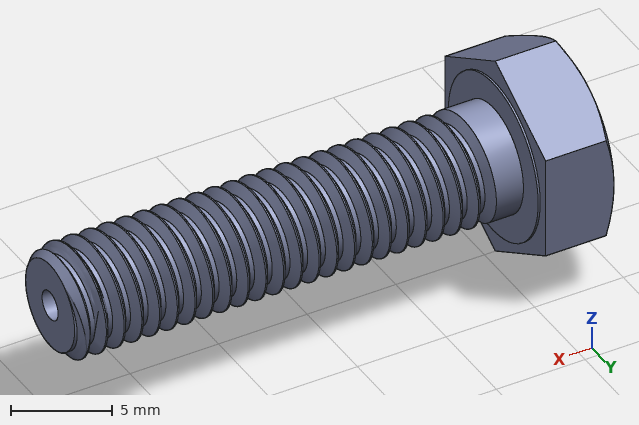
import cadquery as cq
import math

total_length = 29.0
across_flats = 10.0
head_height = 4.0
washer_thickness = 0.12
washer_diameter = 8.93
head_face_diameter = 9.92
head_chamfer_angle = 30.0
shank_diameter = 6.0
root_diameter = 4.87
tip_chamfer = 0.55
bore_diameter = 1.6

pitches_along_shank = 25
groove_start = 5.75
root_width = 0.25
flank_half_angle = 30.0

across_corners = across_flats / math.cos(math.radians(30))
shank_radius = shank_diameter / 2
root_radius = root_diameter / 2
shank_length = total_length - head_height
pitch = shank_length / pitches_along_shank
spare_length = 3 * pitch


def make_head():
    """Hexagon with a conically chamfered outer face and a thin washer face."""
    hex_height = head_height - washer_thickness
    face_radius = head_face_diameter / 2
    cone_radius = face_radius + hex_height / math.tan(math.radians(head_chamfer_angle))
    hexagon = cq.Workplane("XY").polygon(6, across_corners).extrude(hex_height)
    cone = cq.Solid.makeCone(face_radius, cone_radius, hex_height)
    washer = cq.Workplane("XY").workplane(offset=hex_height)
    washer = washer.circle(washer_diameter / 2).extrude(washer_thickness)
    return hexagon.intersect(cq.Workplane(cone)).union(washer)


def make_cylinder(length):
    """Plain round bar of the thread's outer diameter, starting under the head."""
    start = cq.Workplane("XY").workplane(offset=head_height)
    return start.circle(shank_radius).extrude(length)


def make_thread_groove():
    """Right-hand helical groove that runs on past the tip."""
    clearance = 0.1
    outer_radius = shank_radius + clearance
    flank_run = (outer_radius - root_radius) * math.tan(math.radians(flank_half_angle))
    root_half = root_width / 2
    outer_half = root_half + flank_run
    groove_length = total_length + spare_length / 2 - groove_start
    helix = cq.Wire.makeHelix(pitch, groove_length, root_radius)
    profile = cq.Workplane("XZ").polyline([
        (root_radius, -root_half),
        (outer_radius, -outer_half),
        (outer_radius, outer_half),
        (root_radius, root_half),
    ]).close()
    groove = profile.sweep(cq.Workplane(helix), isFrenet=True)
    return groove.translate((0, 0, groove_start))


def make_shank():
    """Threaded shank: an over-long bar is grooved, then trimmed to the chamfered tip."""
    threaded_bar = make_cylinder(shank_length + spare_length).cut(make_thread_groove())
    envelope = make_cylinder(shank_length).faces(">Z").chamfer(tip_chamfer)
    return threaded_bar.intersect(envelope)


bore = cq.Workplane("XY").circle(bore_diameter / 2).extrude(total_length)
screw = make_shank().union(make_head()).cut(bore)
result = screw.rotate((0, 0, 0), (0, 1, 0), 90)